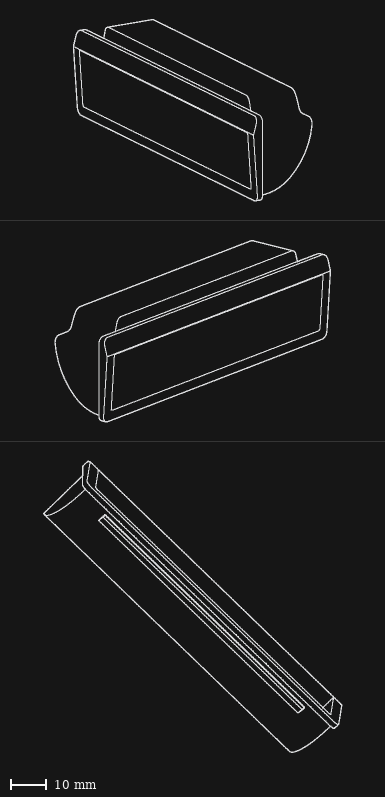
import cadquery as cq
import math

bezel_length = 100.0
bezel_height = 25.0
bezel_thickness = 1.6
ridge_depth = 3.0
ridge_z = 20.0
bezel_corner_radius = 2.0

housing_depth = 17.0
housing_height = 28.0
housing_length = 97.4
housing_bottom = 1.5
back_axis_z = 22.0
back_radius = 22.8
back_axis_y = housing_depth - back_radius
floor_radius = ((back_axis_z - housing_bottom) ** 2 + back_axis_y ** 2 - back_radius ** 2) / (
    2 * (back_axis_z - housing_bottom - back_radius))
floor_axis_z = housing_bottom + floor_radius

shoulder_z = 21.6
raised_foot_length = 83.2
raised_top_length = 79.2
blend_radius = 2.0
panel_gap = 1.5

lip_bottom = 0.6
lip_tip_back = 2.3
lip_root_back = 4.1
lip_root_z = 2.0
lip_length = raised_top_length

recess_length = 93.4
recess_top = 19.8
wall = 1.5
recess_bottom = housing_bottom + wall
recess_edge_radius = 0.7


def extrude_along_x(profile, length):
    return profile.extrude(length / 2, both=True)


def curved_body(inset, top_z, front_y, length):
    """Solid under the curved back, shrunk by inset and closed by flat top and front faces."""
    radius_back = back_radius - inset
    radius_floor = floor_radius - inset

    def back_point(angle):
        """Point on the back arc; the angle is measured from +Y."""
        return (back_axis_y + radius_back * math.cos(angle), back_axis_z + radius_back * math.sin(angle))

    def floor_point(angle):
        return (radius_floor * math.cos(angle), floor_axis_z + radius_floor * math.sin(angle))

    down = -math.pi / 2
    joint = math.atan2(floor_axis_z - back_axis_z, -back_axis_y)
    top = math.asin((top_z - back_axis_z) / radius_back)
    profile = cq.Workplane("YZ").moveTo(*floor_point(down))
    profile = profile.threePointArc(floor_point((down + joint) / 2), floor_point(joint))
    profile = profile.threePointArc(back_point((joint + top) / 2), back_point(top))
    profile = profile.lineTo(front_y, top_z)
    if front_y < 0:
        profile = profile.lineTo(front_y, floor_axis_z - radius_floor)
    return extrude_along_x(profile.close(), length)


def block(length, y_front, y_back, z_bottom, z_top):
    size = (length, y_back - y_front, z_top - z_bottom)
    corner = cq.Workplane("XY").box(*size, centered=(True, False, False))
    return corner.translate((0, y_front, z_bottom))


def make_bezel():
    profile = cq.Workplane("YZ").polyline([
        (0, 0),
        (-bezel_thickness, 0),
        (-ridge_depth, ridge_z),
        (-bezel_thickness, bezel_height),
        (0, bezel_height),
    ]).close()
    outline = block(bezel_length, -ridge_depth, 0, 0, bezel_height)
    outline = outline.edges("|Y").fillet(bezel_corner_radius)
    return extrude_along_x(profile, bezel_length).intersect(outline)


def make_housing():
    half = housing_length / 2
    half_foot = raised_foot_length / 2
    half_top = raised_top_length / 2
    section = cq.Workplane("XZ").polyline([
        (-half, housing_bottom),
        (half, housing_bottom),
        (half, shoulder_z),
        (half_foot, shoulder_z),
        (half_top, housing_height),
        (-half_top, housing_height),
        (-half_foot, shoulder_z),
        (-half, shoulder_z),
    ]).close().extrude(-housing_depth)
    upper_edges = cq.selectors.BoxSelector(
        (-half - 1, -1, shoulder_z - 1),
        (half + 1, housing_depth + 1, housing_height + 1),
    )
    section = section.edges("|Y").edges(upper_edges).fillet(blend_radius)
    blend_top = shoulder_z + blend_radius * (1 - math.cos(math.atan2(
        housing_height - shoulder_z, half_foot - half_top)))
    gap = block(raised_foot_length + 2 * blend_radius, 0, panel_gap, blend_top, housing_height)
    return section.cut(gap).intersect(curved_body(0, housing_height, 0, housing_length))


def make_lip():
    profile = cq.Workplane("YZ").polyline([
        (panel_gap, lip_bottom),
        (lip_tip_back, lip_bottom),
        (lip_root_back, lip_root_z),
        (lip_root_back, recess_bottom),
        (panel_gap, recess_bottom),
    ]).close()
    return extrude_along_x(profile, lip_length)


def make_recess():
    recess = curved_body(wall, recess_top, -ridge_depth, recess_length)
    end_edges = recess.faces("<X or >X").edges("not(>Z or <Y)")
    return recess.newObject(end_edges.vals()).fillet(recess_edge_radius)


result = make_bezel().union(make_housing()).union(make_lip()).cut(make_recess())